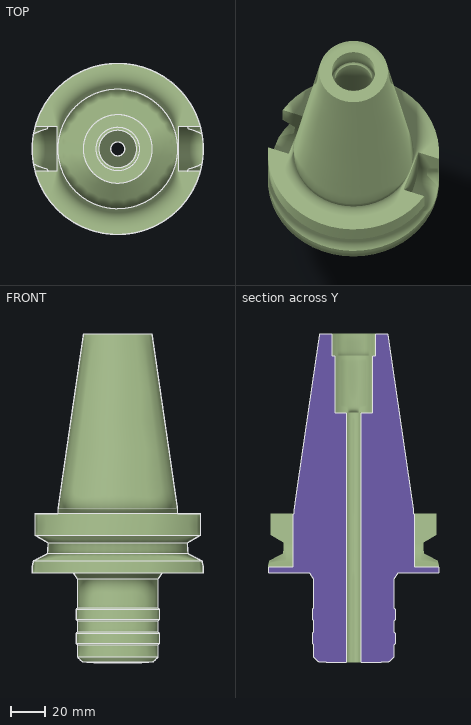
import cadquery as cq

height = 191.8

flange_diameter = 100.0
flange_radius = flange_diameter / 2
flange_bottom = 52.4
flange_top = 87.0
groove_floor_radius = 42.8
groove_lower_edge = 59.5
groove_floor_bottom = 63.7
groove_floor_top = 70.0
groove_upper_edge = 74.5

taper_base_radius = 35.0
collar_height = 2.9
taper_base = flange_top + collar_height
taper_ratio = 7 / 24
taper_top_radius = taper_base_radius - (height - taper_base) * taper_ratio / 2

pilot_radius = 23.5
pilot_tip_radius = 20.7
pilot_crown_radius = 12.5
pilot_crown_height = 0.5
pilot_chamfer_top = 3.5
neck_radius = 25.9
neck_bottom = 49.0

band_radius = 24.4
band_height = 7.5
band_bottoms = (10.5, 24.5)
band_edge = band_radius - pilot_radius

slot_width = 25.9
slot_floor_x = 35.5
slot_bottom = 56.2

counterbore_radius = 12.7
counterbore_depth = 12.9
thread_bore_radius = 11.0
thread_bore_depth = 46.0
through_hole_radius = 4.0


def revolved_body():
    """Pilot, flange and taper as one revolved profile."""
    outline = [
        (0, 0),
        (pilot_crown_radius, 0),
        (pilot_tip_radius, pilot_crown_height),
        (pilot_radius, pilot_chamfer_top),
    ]
    for bottom in band_bottoms:
        top = bottom + band_height
        outline += [
            (pilot_radius, bottom),
            (band_radius, bottom + band_edge),
            (band_radius, top - band_edge),
            (pilot_radius, top),
        ]
    outline += [
        (pilot_radius, neck_bottom),
        (neck_radius, flange_bottom),
        (flange_radius, flange_bottom),
        (flange_radius, groove_lower_edge),
        (groove_floor_radius, groove_floor_bottom),
        (groove_floor_radius, groove_floor_top),
        (flange_radius, groove_upper_edge),
        (flange_radius, flange_top),
        (taper_base_radius, flange_top),
        (taper_base_radius, taper_base),
        (taper_top_radius, height),
        (0, height),
    ]
    profile = cq.Workplane("XZ").polyline(outline).close()
    return profile.revolve(360, (0, 0, 0), (0, 1, 0))


def drive_slot(side):
    """Round-bottomed slot cutter; side is -1 or +1 along X."""
    half_width = slot_width / 2
    arc_center = slot_bottom + half_width
    return (
        cq.Workplane("YZ", origin=(side * slot_floor_x, 0, 0))
        .moveTo(-half_width, flange_top)
        .lineTo(-half_width, arc_center)
        .threePointArc((0, slot_bottom), (half_width, arc_center))
        .lineTo(half_width, flange_top)
        .close()
        .extrude(side * flange_radius)
    )


def axial_bore(radius, depth):
    """Cylinder on the axis, reaching down from the top face."""
    return cq.Workplane("XY").workplane(offset=height - depth).circle(radius).extrude(depth)


result = revolved_body()
for side in (-1, 1):
    result = result.cut(drive_slot(side))
result = result.cut(axial_bore(counterbore_radius, counterbore_depth))
result = result.cut(axial_bore(thread_bore_radius, thread_bore_depth))
result = result.cut(axial_bore(through_hole_radius, height))